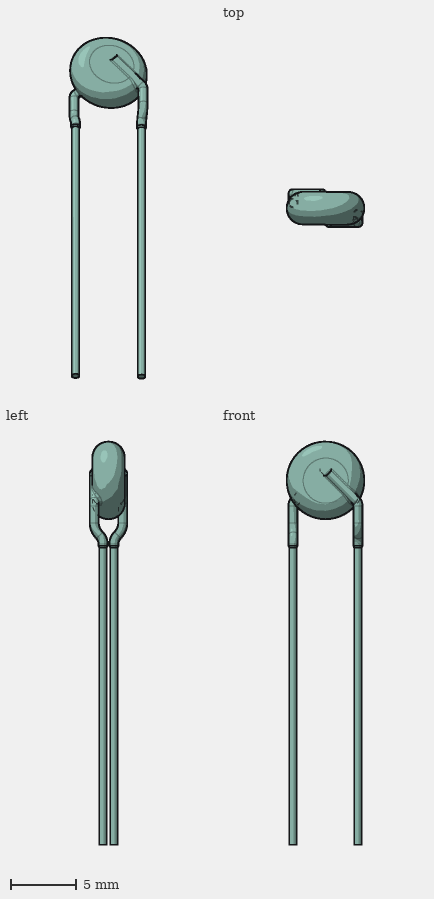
import cadquery as cq
import math

total_height = 31.0
disc_diameter = 5.98
disc_thickness = 2.5
disc_radius = disc_diameter / 2
rim_radius = disc_thickness / 2
flat_radius = disc_radius - rim_radius
disc_center_z = total_height - disc_radius

wire_diameter = 0.6
coat_diameter = 0.7
lead_pitch_x = 5.0
overall_depth = 2.9
lead_x = lead_pitch_x / 2
coat_y = (overall_depth - coat_diameter) / 2

bend_angle = math.radians(45)
bend_sine = math.sin(bend_angle)
bend_rise = 1 - math.cos(bend_angle)
upper_bend_radius = 1.35
lower_bend_radius = 0.95
upper_bend_top_z = 24.75
upper_bend_end_y = coat_y - upper_bend_radius * bend_rise
upper_bend_end_z = upper_bend_top_z - upper_bend_radius * bend_sine
wire_y = upper_bend_end_y - lower_bend_radius * bend_rise
lower_bend_end_z = upper_bend_end_z - lower_bend_radius * bend_sine

coat_straight = 0.12
coat_taper = 0.15
taper_top_z = lower_bend_end_z - coat_straight
taper_bottom_z = taper_top_z - coat_taper

elbow_radius = 0.55
elbow_start_z = 26.05
elbow_end_x = lead_x - elbow_radius * bend_rise
elbow_end_z = elbow_start_z + elbow_radius * bend_sine
arm_end_x = 0.25
arm_end_z = elbow_end_z + (elbow_end_x - arm_end_x) * math.tan(bend_angle)

arm_fillet = 0.15
touch_tolerance = 0.0003


def make_disc():
    """Flat-faced disc with a fully rounded rim, its axis along Y."""
    profile = (
        cq.Workplane("XY")
        .moveTo(0, -rim_radius)
        .lineTo(flat_radius, -rim_radius)
        .threePointArc((disc_radius, 0), (flat_radius, rim_radius))
        .lineTo(0, rim_radius)
        .close()
    )
    disc = profile.revolve(360, (0, 0, 0), (0, 1, 0))
    return disc.translate((0, 0, disc_center_z))


def coat_path():
    """Centerline of the coated wire at +X, +Y, from the top of its taper to the arm end."""
    taper_top = cq.Vector(lead_x, wire_y, taper_top_z)
    lower_bend_end = cq.Vector(lead_x, wire_y, lower_bend_end_z)
    upper_bend_end = cq.Vector(lead_x, upper_bend_end_y, upper_bend_end_z)
    upper_bend_top = cq.Vector(lead_x, coat_y, upper_bend_top_z)
    elbow_start = cq.Vector(lead_x, coat_y, elbow_start_z)
    elbow_end = cq.Vector(elbow_end_x, coat_y, elbow_end_z)
    arm_end = cq.Vector(arm_end_x, coat_y, arm_end_z)
    upward = cq.Vector(0, 0, 1)
    outward = cq.Vector(0, bend_sine, math.cos(bend_angle))
    edges = [
        cq.Edge.makeLine(taper_top, lower_bend_end),
        cq.Edge.makeTangentArc(lower_bend_end, upward, upper_bend_end),
        cq.Edge.makeTangentArc(upper_bend_end, outward, upper_bend_top),
        cq.Edge.makeLine(upper_bend_top, elbow_start),
        cq.Edge.makeTangentArc(elbow_start, upward, elbow_end),
        cq.Edge.makeLine(elbow_end, arm_end),
    ]
    return cq.Wire.assembleEdges(edges)


def make_lead():
    """One lead at +X, +Y: straight bare wire, tapered coat end and bent coated part."""
    wire = (
        cq.Workplane("XY")
        .center(lead_x, wire_y)
        .circle(wire_diameter / 2)
        .extrude(taper_bottom_z)
    )
    taper = (
        cq.Workplane("XY", origin=(lead_x, wire_y, taper_bottom_z))
        .circle(wire_diameter / 2)
        .workplane(offset=coat_taper)
        .circle(coat_diameter / 2)
        .loft()
    )
    coat = (
        cq.Workplane("XY", origin=(lead_x, wire_y, taper_top_z))
        .circle(coat_diameter / 2)
        .sweep(coat_path())
    )
    return wire.union(taper).union(coat)


def touches(shape, edge):
    """Whether the middle of the edge lies on the shape."""
    middle = cq.Vertex.makeVertex(*edge.positionAt(0.5).toTuple())
    return shape.distance(middle) < touch_tolerance


disc = make_disc()
rear_lead = make_lead().mirror("YZ")
front_lead = rear_lead.rotate((0, 0, 0), (0, 0, 1), 180)
joined = disc.union(rear_lead).union(front_lead)

contact_edges = joined.edges("not %CIRCLE").filter(lambda edge: touches(disc.val(), edge))
result = contact_edges.fillet(arm_fillet)